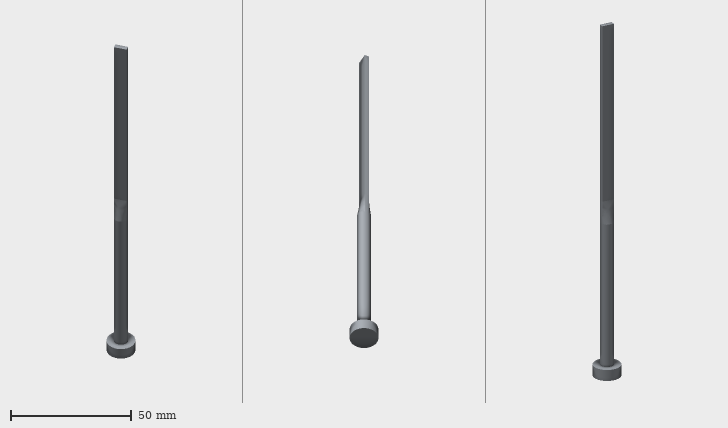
import cadquery as cq
import math

total_length = 160.0

head_diameter = 12.0
head_height = 5.0

shank_diameter = 6.0
shank_radius = shank_diameter / 2

blade_width = 5.5
blade_thickness = 2.0
blade_length = total_length / 2
blade_start = total_length - blade_length

transition_length = 10.0
shank_end = blade_start - transition_length


def make_headed_shank():
    """Head and shank turned from one half profile about the Z axis."""
    return (
        cq.Workplane("XZ")
        .lineTo(-head_diameter / 2, 0)
        .lineTo(-head_diameter / 2, head_height)
        .lineTo(-shank_radius, head_height)
        .lineTo(-shank_radius, shank_end)
        .lineTo(0, shank_end)
        .close()
        .revolve(360, (0, 0), (0, 1))
    )


def make_transition():
    """Ruled loft from the shank circle to the blade rectangle.

    The circle is split into four arcs level with the blade faces, so
    each arc runs up to one side of the rectangle.
    """
    split_y = blade_thickness / 2
    split_x = math.sqrt(shank_radius**2 - split_y**2)
    return (
        cq.Workplane("XY")
        .workplane(offset=shank_end)
        .moveTo(-split_x, -split_y)
        .threePointArc((0, -shank_radius), (split_x, -split_y))
        .threePointArc((shank_radius, 0), (split_x, split_y))
        .threePointArc((0, shank_radius), (-split_x, split_y))
        .threePointArc((-shank_radius, 0), (-split_x, -split_y))
        .close()
        .workplane(offset=transition_length)
        .moveTo(-blade_width / 2, -blade_thickness / 2)
        .lineTo(blade_width / 2, -blade_thickness / 2)
        .lineTo(blade_width / 2, blade_thickness / 2)
        .lineTo(-blade_width / 2, blade_thickness / 2)
        .close()
        .loft(ruled=True)
    )


def make_blade():
    return (
        cq.Workplane("XY")
        .workplane(offset=blade_start)
        .rect(blade_width, blade_thickness)
        .extrude(blade_length)
    )


result = make_headed_shank().union(make_transition()).union(make_blade())